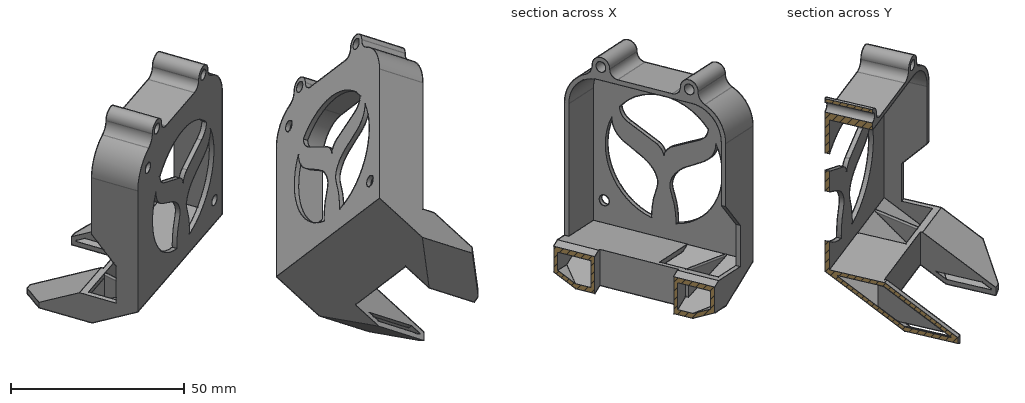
import cadquery as cq
import math


WALL = 1.5

DEPTH = 15.0
WIDTH = 55.0
HALF_WIDTH = WIDTH / 2
TRAY_TOP = 53.4
CORNER_RADIUS = 11.5

LUG_Y = 15.05
LUG_Z = 56.1
LUG_RADIUS = 3.0
LUG_HOLE = 3.3
LUG_OUTER_BLEND = 4.0

RELIEF_X = -7.0
RELIEF_LOW_Z = 13.0
RELIEF_HIGH_Z = 22.0

FAN_Y = 2.0
FAN_Z = 25.0
FAN_RADIUS = 19.95
PLATE_HOLE = 3.4
PLATE_HOLE_PLACES = [(-20.85, 45.9), (22.35, 7.15)]

UPPER_ARM_ROOT = [(0, 1.1), (0.75, 2.85), (2.3, 4.3)]
UPPER_ARM_END = [(11.9, 8.7), (14.45, 10.8), (15.2, 13.55)]
LOWER_ARM_EDGE = [
    (17.75, 9.4),
    (15.7, 4.1),
    (7.75, -0.7),
    (3.2, -4.5),
    (2.1, -7.5),
    (3.2, -12.2),
    (3.85, -15.05),
    (4.1, -FAN_RADIUS),
]

DUCT_ANGLE = math.radians(30)
DUCT_RISE = math.tan(DUCT_ANGLE)
TIP_X = -41.8
BASE_Z = -16.1
HEEL = 1.0
SHOULDER_X = -18.8
NOZZLE_INNER_Y = 13.4
NOZZLE_TIP_Y = 15.4
NOZZLE_CORNER_X = -31.9
SIDE_BOTTOM_Z = -9.5
FRONT_WALL_X = -18.1
FRONT_WALL_INSIDE_X = FRONT_WALL_X + WALL
INLET_EDGE_Y = -6.0
OUTLET_TOP_Z = -12.5

DIVIDER_FRONT_Y = -14.8
DIVIDER_BACK_Y = -18.65
DIVIDER_THICKNESS = 1.0
DIVIDER_ROUND = 0.45


def block(x_range, y_range, z_range):
    """Box between two limits along each axis."""
    (x0, x1), (y0, y1), (z0, z1) = x_range, y_range, z_range
    return cq.Workplane("XY").box(x1 - x0, y1 - y0, z1 - z0, centered=False).translate((x0, y0, z0))


def tray_outline(inset):
    """Upright block with two rounded top corners, full depth, starting at X = 0."""
    half = HALF_WIDTH - inset
    body = block((-DEPTH, 0), (-half, half), (0, TRAY_TOP - inset))
    return body.edges("|X and >Z").fillet(CORNER_RADIUS - inset)


def lug(side):
    """Screw lug blended into the top edge and into the rounded corner; side is +1 or -1."""
    inner_blend = LUG_Z - TRAY_TOP
    corner_y = HALF_WIDTH - CORNER_RADIUS
    corner_z = TRAY_TOP - CORNER_RADIUS
    inner_y = LUG_Y - LUG_RADIUS
    outer_y = LUG_Y + LUG_RADIUS
    blend_y = outer_y + LUG_OUTER_BLEND
    join_angle = math.atan2(LUG_Z - corner_z, blend_y - corner_y)
    join = (corner_y + CORNER_RADIUS * math.cos(join_angle), corner_z + CORNER_RADIUS * math.sin(join_angle))
    middle_angle = math.pi + join_angle / 2
    outer_middle = (
        blend_y + LUG_OUTER_BLEND * math.cos(middle_angle),
        LUG_Z + LUG_OUTER_BLEND * math.sin(middle_angle),
    )
    diagonal = inner_blend * math.sqrt(0.5)
    inner_middle = (inner_y - inner_blend + diagonal, LUG_Z - diagonal)

    def at(point):
        return (side * point[0], point[1])

    return (
        cq.Workplane("YZ")
        .moveTo(*at((inner_y - inner_blend, TRAY_TOP)))
        .threePointArc(at(inner_middle), at((inner_y, LUG_Z)))
        .threePointArc(at((LUG_Y, LUG_Z + LUG_RADIUS)), at((outer_y, LUG_Z)))
        .threePointArc(at(outer_middle), at(join))
        .lineTo(*at((corner_y, corner_z)))
        .lineTo(*at((inner_y - inner_blend, corner_z)))
        .close()
        .extrude(-DEPTH)
    )


def x_holes(places, diameter):
    """Round holes along X through the whole holder."""
    return cq.Workplane("YZ").pushPoints(places).circle(diameter / 2).extrude(-DEPTH)


def fan_windows():
    """Openings left between the curved arms inside the fan circle."""
    disc = cq.Workplane("YZ").circle(FAN_RADIUS).extrude(-WALL)
    reach = 2 * FAN_RADIUS
    root_y = UPPER_ARM_ROOT[0][0]
    upper_end_y = UPPER_ARM_END[-1][0]
    lower_start_z = LOWER_ARM_EDGE[0][1]
    lower_end_y = LOWER_ARM_EDGE[-1][0]
    upper = (
        cq.Workplane("YZ")
        .spline(UPPER_ARM_ROOT)
        .lineTo(*UPPER_ARM_END[0])
        .spline(UPPER_ARM_END[1:], includeCurrent=True)
        .lineTo(upper_end_y, reach)
        .lineTo(root_y, reach)
        .close()
        .extrude(-WALL)
    )
    lower = (
        cq.Workplane("YZ")
        .spline(LOWER_ARM_EDGE)
        .lineTo(lower_end_y, -reach)
        .lineTo(reach, -reach)
        .lineTo(reach, lower_start_z)
        .close()
        .extrude(-WALL)
    )
    half = upper.union(lower)
    return half.union(half.mirror("XZ")).intersect(disc).translate((0, FAN_Y, FAN_Z))


def holder():
    """Fan tray with lugs, holes, side relief and fan opening."""
    inside = tray_outline(WALL).translate((-WALL, 0, 0))
    lug_places = [(-LUG_Y, LUG_Z), (LUG_Y, LUG_Z)]
    relief = (
        cq.Workplane("XZ", origin=(0, -HALF_WIDTH + WALL, 0))
        .polyline([
            (-DEPTH, 0),
            (RELIEF_X, 0),
            (RELIEF_X, RELIEF_LOW_Z),
            (-DEPTH, RELIEF_HIGH_Z),
        ])
        .close()
        .extrude(WALL)
    )
    return (
        tray_outline(0)
        .union(lug(1))
        .union(lug(-1))
        .cut(inside)
        .cut(relief)
        .cut(x_holes(lug_places, LUG_HOLE))
        .cut(x_holes(PLATE_HOLE_PLACES, PLATE_HOLE))
        .cut(fan_windows())
    )


def floor_z(x, inset):
    """Height of the sloping duct floor, raised squarely by inset."""
    return DUCT_RISE * x - HEEL + inset / math.cos(DUCT_ANGLE)


def floor_x(z, inset):
    """X at which the sloping duct floor reaches height z."""
    return (z + HEEL - inset / math.cos(DUCT_ANGLE)) / DUCT_RISE


def duct_envelope(inset):
    """Both nozzles and the space between them, every face moved inwards by inset."""
    tip = TIP_X + inset
    half = HALF_WIDTH - inset
    roof_drop = inset / math.cos(DUCT_ANGLE)
    roof_start = SHOULDER_X + (roof_drop - inset) / DUCT_RISE
    profile = (
        cq.Workplane("XZ")
        .polyline([
            (floor_x(-inset, inset), -inset),
            (roof_start, -inset),
            (tip, (tip - SHOULDER_X) * DUCT_RISE - roof_drop),
            (tip, BASE_Z),
            (floor_x(BASE_Z, inset), BASE_Z),
        ])
        .close()
        .extrude(half, both=True)
    )

    plan_slope = (HALF_WIDTH - NOZZLE_TIP_Y) / (NOZZLE_CORNER_X - TIP_X)
    plan_shift = inset * math.hypot(1, plan_slope)
    corner = NOZZLE_CORNER_X + (plan_shift - inset) / plan_slope
    tip_y = NOZZLE_TIP_Y - plan_shift + inset * plan_slope
    plan = (
        cq.Workplane("XY", origin=(0, 0, BASE_Z))
        .polyline([(0, half), (corner, half), (tip, tip_y), (tip, -tip_y), (corner, -half), (0, -half)])
        .close()
        .extrude(-BASE_Z)
    )

    under_slope = (SIDE_BOTTOM_Z - BASE_Z) / (HALF_WIDTH - NOZZLE_INNER_Y)
    under_shift = inset * math.hypot(1, under_slope)
    side_z = SIDE_BOTTOM_Z - inset * under_slope + under_shift
    middle_z = SIDE_BOTTOM_Z - HALF_WIDTH * under_slope + under_shift
    section = (
        cq.Workplane("YZ")
        .polyline([(half, 0), (half, side_z), (0, middle_z), (-half, side_z), (-half, 0)])
        .close()
        .extrude(TIP_X)
    )
    return profile.intersect(plan).intersect(section)


def nozzle_gap(front_x, half_gap, bottom_z):
    """Space between the nozzles, from the tips back to front_x and from bottom_z up to the joint."""
    return block((TIP_X, front_x), (-half_gap, half_gap), (bottom_z, 0))


def inlet():
    """Opening in the duct roof at the -Y end, above the sloping floor."""
    side_y = -HALF_WIDTH + WALL
    return (
        cq.Workplane("XZ", origin=(0, side_y, 0))
        .polyline([
            (-WALL, 0),
            (-WALL, floor_z(-WALL, WALL)),
            (floor_x(-WALL, WALL), -WALL),
            (FRONT_WALL_INSIDE_X, -WALL),
            (FRONT_WALL_INSIDE_X, 0),
        ])
        .close()
        .extrude(side_y - INLET_EDGE_Y)
    )


def divider():
    """Upright rib with a rounded top, running askew across the inlet."""
    front = (FRONT_WALL_INSIDE_X, DIVIDER_FRONT_Y)
    back = (-WALL, DIVIDER_BACK_Y)
    return (
        cq.Workplane("XY", origin=(0, 0, BASE_Z))
        .polyline([
            front,
            back,
            (back[0], back[1] - DIVIDER_THICKNESS),
            (front[0], front[1] - DIVIDER_THICKNESS),
        ])
        .close()
        .extrude(-BASE_Z)
        .faces(">Z")
        .edges("not |Y")
        .fillet(DIVIDER_ROUND)
    )


def duct():
    """Hollow two-nozzle duct with its inlet and divider."""
    outside = duct_envelope(0).cut(nozzle_gap(FRONT_WALL_X, NOZZLE_INNER_Y, BASE_Z))
    inside = (
        duct_envelope(WALL)
        .cut(nozzle_gap(FRONT_WALL_INSIDE_X, NOZZLE_INNER_Y, BASE_Z))
        .cut(nozzle_gap(FRONT_WALL_INSIDE_X, NOZZLE_INNER_Y + WALL, OUTLET_TOP_Z))
        .union(inlet())
    )
    rib = divider().intersect(outside)
    return outside.cut(inside).union(rib)


result = holder().union(duct())